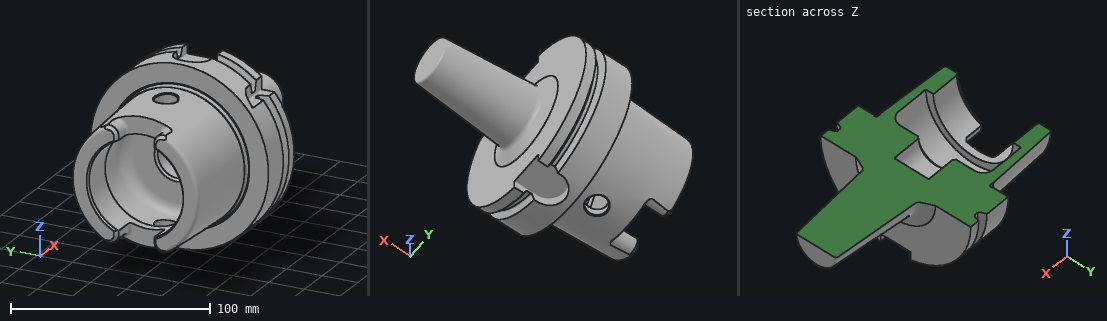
import cadquery as cq
import math


LENGTH = 140.0
SHANK_LENGTH = 50.0
SHANK_END_RADIUS = 35.5
TAPER_END_X = 47.5
TAPER_END_RADIUS = 37.8
SHANK_END_FILLET = 2.0
NECK_START_X = 48.2
NECK_RADIUS = 37.5

RECESS_FILLET = 1.1
RECESS_DEPTH = 0.4
RECESS_RADIUS = 39.3

FLANGE_RADIUS = 50.0
FLANGE_LENGTH = 29.0
FLANGE_END_X = SHANK_LENGTH + FLANGE_LENGTH
GROOVE_CENTER_X = 69.7
GROOVE_WIDTH = 6.3
GROOVE_BOTTOM_RADIUS = 45.9
GROOVE_WALL_ANGLE = math.radians(20)
GROOVE_FILLET = 0.8

NOSE_BASE_RADIUS = 26.5
NOSE_START_X = 82.9
NOSE_START_RADIUS = 17.9
NOSE_TIP_RADIUS = 13.6
NOSE_BASE_FILLET = 2.7
NOSE_TIP_FILLET = 1.3

BORE_RADIUS = 26.5
BORE_MOUTH_RADIUS = 27.2
BORE_MOUTH_LENGTH = 1.5
CHAMBER_START_X = 19.5
CHAMBER_RADIUS = 31.5
CHAMBER_FILLET = 7.0
CHAMBER_FLOOR_X = 47.0
CENTER_HOLE_RADIUS = 11.3
CENTER_HOLE_CHAMFER = 1.3
CENTER_HOLE_DEPTH = 19.6

CROSS_HOLE_X = 34.7
CROSS_HOLE_RADIUS = 6.0
CROSS_HOLE_CHAMFER = 0.5

SLOT_HALF_WIDTH = 10.0
SLOT_SHOULDER_Z = 31.8
SLOT_LUG_RADIUS = 5.2
TOP_SLOT_DEPTH = 9.7
BOTTOM_SLOT_DEPTH = 14.7
SLOT_FLOOR_FILLET = 2.0
SLOT_MOUTH_CHAMFER = 1.8

KEYWAY_START_X = 54.9
KEYWAY_RADIUS = 10.0
KEYWAY_FLOOR_Z = 43.4
NOTCH_START_X = 54.7
NOTCH_RADIUS = 8.0
NOTCH_FLOOR_Z = 31.5
NOTCH_WALL_Y = -31.6
POCKET_FLOOR_FILLET = 0.4

OVERCUT = 7.0
OUTSIDE = FLANGE_RADIUS + OVERCUT

SELECTION_MARGIN = 0.1


def fillet_circle(body, x, radius, fillet):
    """Round the edges in the plane X = x that lie within the given radius of the axis."""
    reach = radius + SELECTION_MARGIN
    slab = cq.selectors.BoxSelector(
        (x - SELECTION_MARGIN, -reach, -reach),
        (x + SELECTION_MARGIN, reach, reach),
        boundingbox=True,
    )
    return body.edges(slab).fillet(fillet)


def turned_body():
    fillet_end_x = SHANK_LENGTH + RECESS_DEPTH
    fillet_start_x = fillet_end_x - RECESS_FILLET
    arc_middle = RECESS_FILLET * math.sin(math.pi / 4)
    profile = (
        cq.Workplane("XY")
        .lineTo(0, SHANK_END_RADIUS)
        .lineTo(TAPER_END_X, TAPER_END_RADIUS)
        .lineTo(NECK_START_X, NECK_RADIUS)
        .lineTo(fillet_start_x, NECK_RADIUS)
        .threePointArc(
            (fillet_start_x + arc_middle, NECK_RADIUS + RECESS_FILLET - arc_middle),
            (fillet_end_x, NECK_RADIUS + RECESS_FILLET),
        )
        .lineTo(SHANK_LENGTH, RECESS_RADIUS)
        .lineTo(SHANK_LENGTH, FLANGE_RADIUS)
        .lineTo(FLANGE_END_X, FLANGE_RADIUS)
        .lineTo(FLANGE_END_X, NOSE_BASE_RADIUS)
        .lineTo(NOSE_START_X, NOSE_START_RADIUS)
        .lineTo(LENGTH, NOSE_TIP_RADIUS)
        .lineTo(LENGTH, 0)
        .close()
    )
    body = profile.revolve(360, (0, 0, 0), (1, 0, 0))
    body = fillet_circle(body, 0, SHANK_END_RADIUS, SHANK_END_FILLET)
    body = fillet_circle(body, NOSE_START_X, NOSE_START_RADIUS, NOSE_BASE_FILLET)
    return fillet_circle(body, LENGTH, NOSE_TIP_RADIUS, NOSE_TIP_FILLET)


def gripper_groove():
    slope = math.tan(GROOVE_WALL_ANGLE)
    depth = FLANGE_RADIUS - GROOVE_BOTTOM_RADIUS
    mouth = GROOVE_WIDTH / 2 + OVERCUT * slope
    bottom = GROOVE_WIDTH / 2 - depth * slope
    groove = (
        cq.Workplane("XY")
        .polyline([
            (GROOVE_CENTER_X - mouth, OUTSIDE),
            (GROOVE_CENTER_X - bottom, GROOVE_BOTTOM_RADIUS),
            (GROOVE_CENTER_X + bottom, GROOVE_BOTTOM_RADIUS),
            (GROOVE_CENTER_X + mouth, OUTSIDE),
        ])
        .close()
        .revolve(360, (0, 0, 0), (1, 0, 0))
    )
    for side in (-1, 1):
        groove = fillet_circle(groove, GROOVE_CENTER_X + side * bottom, GROOVE_BOTTOM_RADIUS, GROOVE_FILLET)
    return groove


def bore():
    hole_mouth_radius = CENTER_HOLE_RADIUS + CENTER_HOLE_CHAMFER
    hole_end_x = CHAMBER_FLOOR_X + CENTER_HOLE_DEPTH
    cavity = (
        cq.Workplane("XY")
        .polyline([
            (0, 0),
            (0, BORE_MOUTH_RADIUS),
            (BORE_MOUTH_LENGTH, BORE_RADIUS),
            (CHAMBER_START_X, BORE_RADIUS),
            (CHAMBER_START_X, CHAMBER_RADIUS),
            (CHAMBER_FLOOR_X, CHAMBER_RADIUS),
            (CHAMBER_FLOOR_X, hole_mouth_radius),
            (CHAMBER_FLOOR_X + CENTER_HOLE_CHAMFER, CENTER_HOLE_RADIUS),
            (hole_end_x, CENTER_HOLE_RADIUS),
            (hole_end_x, 0),
        ])
        .close()
        .revolve(360, (0, 0, 0), (1, 0, 0))
    )
    floor = cq.selectors.NearestToPointSelector((CHAMBER_FLOOR_X, 0, 0))
    floor_rim = cq.selectors.RadiusNthSelector(-1)
    return cavity.faces(floor).edges(floor_rim).fillet(CHAMBER_FILLET)


def drive_slot(depth):
    """Upper drive slot: narrow between the lugs, open above their rounded shoulders."""
    lug_start_z = SLOT_SHOULDER_Z - SLOT_LUG_RADIUS
    lug_end_y = SLOT_HALF_WIDTH + SLOT_LUG_RADIUS
    arc_inset = SLOT_LUG_RADIUS * (1 - math.sin(math.pi / 4))
    arc_middle = (SLOT_HALF_WIDTH + arc_inset, SLOT_SHOULDER_Z - arc_inset)

    def outline(x):
        return (
            cq.Workplane("YZ", origin=(x, 0, 0))
            .moveTo(-SLOT_HALF_WIDTH, 0)
            .lineTo(SLOT_HALF_WIDTH, 0)
            .lineTo(SLOT_HALF_WIDTH, lug_start_z)
            .threePointArc(arc_middle, (lug_end_y, SLOT_SHOULDER_Z))
            .lineTo(OUTSIDE, SLOT_SHOULDER_Z)
            .lineTo(OUTSIDE, OUTSIDE)
            .lineTo(-OUTSIDE, OUTSIDE)
            .lineTo(-OUTSIDE, SLOT_SHOULDER_Z)
            .lineTo(-lug_end_y, SLOT_SHOULDER_Z)
            .threePointArc((-arc_middle[0], arc_middle[1]), (-SLOT_HALF_WIDTH, lug_start_z))
            .close()
        )

    slot = outline(0).extrude(depth).faces(">X").edges().fillet(SLOT_FLOOR_FILLET)
    mouth = outline(SLOT_MOUTH_CHAMFER).extrude(-SLOT_MOUTH_CHAMFER, taper=-45)
    return slot.union(mouth)


def flange_pocket(start_x, center_y, radius, floor_z):
    """Round-ended pocket, open towards +X and +Z, with a small fillet around its floor."""
    center_x = start_x + radius
    return (
        cq.Workplane("XY", origin=(0, center_y, floor_z))
        .moveTo(FLANGE_END_X + OVERCUT, -radius)
        .lineTo(center_x, -radius)
        .threePointArc((start_x, 0), (center_x, radius))
        .lineTo(FLANGE_END_X + OVERCUT, radius)
        .close()
        .extrude(OUTSIDE - floor_z)
        .faces("<Z")
        .edges()
        .fillet(POCKET_FLOOR_FILLET)
    )


def turned_over(body):
    return body.rotate((0, 0, 0), (1, 0, 0), 180)


def drill_cross_hole(body):
    hole_center = cq.Workplane("XY", origin=(CROSS_HOLE_X, 0, 0))
    drill = hole_center.circle(CROSS_HOLE_RADIUS).extrude(OUTSIDE, both=True)
    drilled = body.cut(drill)
    for side in (-1, 1):
        hole_wall = cq.selectors.BoxSelector(
            (CROSS_HOLE_X - CROSS_HOLE_RADIUS, -CROSS_HOLE_RADIUS, side * CHAMBER_RADIUS),
            (CROSS_HOLE_X + CROSS_HOLE_RADIUS, CROSS_HOLE_RADIUS, side * OUTSIDE),
        )
        outer_rim = cq.selectors.NearestToPointSelector((CROSS_HOLE_X, 0, side * OUTSIDE))
        drilled = drilled.faces(hole_wall).edges(outer_rim).chamfer(CROSS_HOLE_CHAMFER)
    return drilled


holder = turned_body().cut(gripper_groove()).cut(bore())
holder = drill_cross_hole(holder)

holder = holder.cut(drive_slot(TOP_SLOT_DEPTH))
holder = holder.cut(turned_over(drive_slot(BOTTOM_SLOT_DEPTH)))

keyway = flange_pocket(KEYWAY_START_X, 0, KEYWAY_RADIUS, KEYWAY_FLOOR_Z)
notch = flange_pocket(NOTCH_START_X, NOTCH_WALL_Y - NOTCH_RADIUS, NOTCH_RADIUS, NOTCH_FLOOR_Z)
result = holder.cut(keyway).cut(turned_over(keyway)).cut(notch)